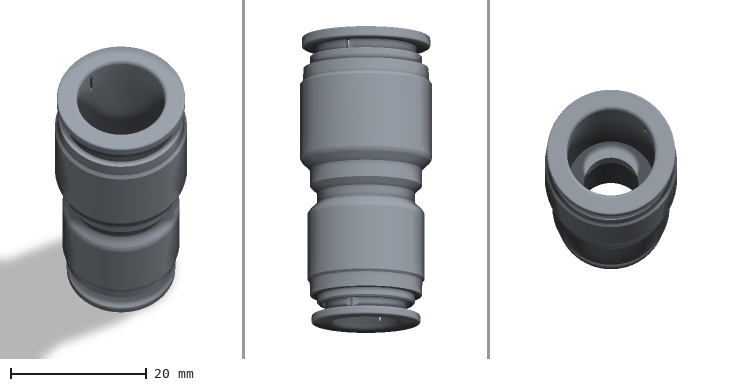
import cadquery as cq

TOTAL_LENGTH = 42.9

LARGE_FLANGE_RADIUS = 9.5
LARGE_FLANGE_BOTTOM = 41.4
LARGE_NECK_RADIUS = 7.45
LARGE_CAP_RADIUS = 8.3
LARGE_CAP_TOP = 39.95
LARGE_CAP_BOTTOM = 38.22
LARGE_STEP_TOP_RADIUS = 9.22
LARGE_STEP_BOTTOM_RADIUS = 9.35
LARGE_STEP_BOTTOM = 36.3
LARGE_BODY_DIAMETER = 19.5
LARGE_BODY_RADIUS = LARGE_BODY_DIAMETER / 2
LARGE_BODY_TOP = 35.8

COLLAR_RADIUS = LARGE_CAP_RADIUS
COLLAR_TOP = 23.05
COLLAR_BOTTOM = 20.6
WAIST_RADIUS = 7.2
WAIST_TOP = COLLAR_BOTTOM - (COLLAR_RADIUS - WAIST_RADIUS)
WAIST_BOTTOM = 18.0

SMALL_BODY_RADIUS = 8.65
SMALL_BODY_BOTTOM = 6.65
SMALL_STEP_TOP_RADIUS = 8.32
SMALL_STEP_BOTTOM_RADIUS = 8.25
SMALL_STEP_BOTTOM = 4.15
SMALL_CAP_RADIUS = WAIST_RADIUS
SMALL_CAP_BOTTOM = 2.85
SMALL_CAP_CHAMFER = 0.25
SMALL_NECK_RADIUS = 5.95
SMALL_FLANGE_RADIUS = 8.02
SMALL_FLANGE_TOP = 1.25

LARGE_BODY_BOTTOM = COLLAR_TOP + (LARGE_BODY_RADIUS - COLLAR_RADIUS)
SMALL_BODY_TOP = WAIST_BOTTOM - (SMALL_BODY_RADIUS - WAIST_RADIUS)
SMALL_STEP_TOP = SMALL_BODY_BOTTOM - (SMALL_BODY_RADIUS - SMALL_STEP_TOP_RADIUS)

BODY_FILLET = 1.0
FLANGE_FILLET = 0.25
CAP_FILLET = 0.15
MOUTH_FILLET = 0.55

COLLET_WALL = 1.0
LARGE_SOCKET_RADIUS = LARGE_NECK_RADIUS - COLLET_WALL
SMALL_SOCKET_RADIUS = SMALL_NECK_RADIUS - COLLET_WALL
PASSAGE_RADIUS = 4.05
STOP_THICKNESS = 3.45
SMALL_SOCKET_DEPTH = WAIST_BOTTOM
LARGE_SOCKET_DEPTH = TOTAL_LENGTH - WAIST_BOTTOM - STOP_THICKNESS

COLLET_GAP = 0.5
COLLET_GAP_DEPTH = 1.65
SLIT_WIDTH = 0.5


def outer_body():
    """Revolve the stepped outside as a solid of full section."""
    profile = [
        (0, 0),
        (SMALL_FLANGE_RADIUS, 0),
        (SMALL_FLANGE_RADIUS, SMALL_FLANGE_TOP),
        (SMALL_NECK_RADIUS, SMALL_FLANGE_TOP),
        (SMALL_NECK_RADIUS, SMALL_CAP_BOTTOM),
        (SMALL_CAP_RADIUS - SMALL_CAP_CHAMFER, SMALL_CAP_BOTTOM),
        (SMALL_CAP_RADIUS, SMALL_CAP_BOTTOM + SMALL_CAP_CHAMFER),
        (SMALL_CAP_RADIUS, SMALL_STEP_BOTTOM),
        (SMALL_STEP_BOTTOM_RADIUS, SMALL_STEP_BOTTOM),
        (SMALL_STEP_TOP_RADIUS, SMALL_STEP_TOP),
        (SMALL_BODY_RADIUS, SMALL_BODY_BOTTOM),
        (SMALL_BODY_RADIUS, SMALL_BODY_TOP),
        (WAIST_RADIUS, WAIST_BOTTOM),
        (WAIST_RADIUS, WAIST_TOP),
        (COLLAR_RADIUS, COLLAR_BOTTOM),
        (COLLAR_RADIUS, COLLAR_TOP),
        (LARGE_BODY_RADIUS, LARGE_BODY_BOTTOM),
        (LARGE_BODY_RADIUS, LARGE_BODY_TOP),
        (LARGE_STEP_BOTTOM_RADIUS, LARGE_STEP_BOTTOM),
        (LARGE_STEP_TOP_RADIUS, LARGE_CAP_BOTTOM),
        (LARGE_CAP_RADIUS, LARGE_CAP_BOTTOM),
        (LARGE_CAP_RADIUS, LARGE_CAP_TOP),
        (LARGE_NECK_RADIUS, LARGE_CAP_TOP),
        (LARGE_NECK_RADIUS, LARGE_FLANGE_BOTTOM),
        (LARGE_FLANGE_RADIUS, LARGE_FLANGE_BOTTOM),
        (LARGE_FLANGE_RADIUS, TOTAL_LENGTH),
        (0, TOTAL_LENGTH),
    ]
    return cq.Workplane("XZ").polyline(profile).close().revolve(360, (0, 0), (0, 1))


def fillet_ring(body, radius, height, fillet):
    """Round the circular edge of the given radius at the given height."""
    reach = 0.005
    level = cq.selectors.BoxSelector(
        (-reach, -reach, height - reach), (reach, reach, height + reach)
    )
    rings = body.edges("%CIRCLE").edges(level)
    ring = rings.filter(lambda edge: abs(edge.radius() - radius) < reach)
    return ring.fillet(fillet)


def cylinder(radius, bottom, top):
    """Solid cylinder on the Z axis between two heights."""
    return cq.Workplane("XY").workplane(offset=bottom).circle(radius).extrude(top - bottom)


def collet_clearance(neck_radius, flange_face, cap_face):
    """Annular gap around a collet plus the slit along X through its two walls."""
    inward = 1 if cap_face > flange_face else -1
    floor = cap_face + inward * COLLET_GAP_DEPTH
    gap_radius = neck_radius + COLLET_GAP
    gap_bottom, gap_top = sorted((cap_face, floor))
    gap = cylinder(gap_radius, gap_bottom, gap_top).cut(cylinder(neck_radius, gap_bottom, gap_top))

    slit_bottom, slit_top = sorted((flange_face, floor))
    slit_height = slit_top - slit_bottom
    slit = cq.Workplane("XY").box(2 * gap_radius, SLIT_WIDTH, slit_height)
    slit = slit.translate((0, 0, (slit_bottom + slit_top) / 2))
    slit = slit.intersect(cylinder(gap_radius, slit_bottom, slit_top))
    return gap.union(slit)


body = outer_body()
body = fillet_ring(body, LARGE_BODY_RADIUS, LARGE_BODY_BOTTOM, BODY_FILLET)
body = fillet_ring(body, SMALL_BODY_RADIUS, SMALL_BODY_TOP, BODY_FILLET)
body = fillet_ring(body, LARGE_CAP_RADIUS, LARGE_CAP_TOP, CAP_FILLET)
for face in (LARGE_FLANGE_BOTTOM, TOTAL_LENGTH):
    body = fillet_ring(body, LARGE_FLANGE_RADIUS, face, FLANGE_FILLET)
for face in (0, SMALL_FLANGE_TOP):
    body = fillet_ring(body, SMALL_FLANGE_RADIUS, face, FLANGE_FILLET)

body = body.cut(cylinder(PASSAGE_RADIUS, 0, TOTAL_LENGTH))
body = body.cut(cylinder(LARGE_SOCKET_RADIUS, TOTAL_LENGTH - LARGE_SOCKET_DEPTH, TOTAL_LENGTH))
body = body.cut(cylinder(SMALL_SOCKET_RADIUS, 0, SMALL_SOCKET_DEPTH))
body = fillet_ring(body, LARGE_SOCKET_RADIUS, TOTAL_LENGTH, MOUTH_FILLET)
body = fillet_ring(body, SMALL_SOCKET_RADIUS, 0, MOUTH_FILLET)

body = body.cut(collet_clearance(LARGE_NECK_RADIUS, LARGE_FLANGE_BOTTOM, LARGE_CAP_TOP))
body = body.cut(collet_clearance(SMALL_NECK_RADIUS, SMALL_FLANGE_TOP, SMALL_CAP_BOTTOM))

result = body